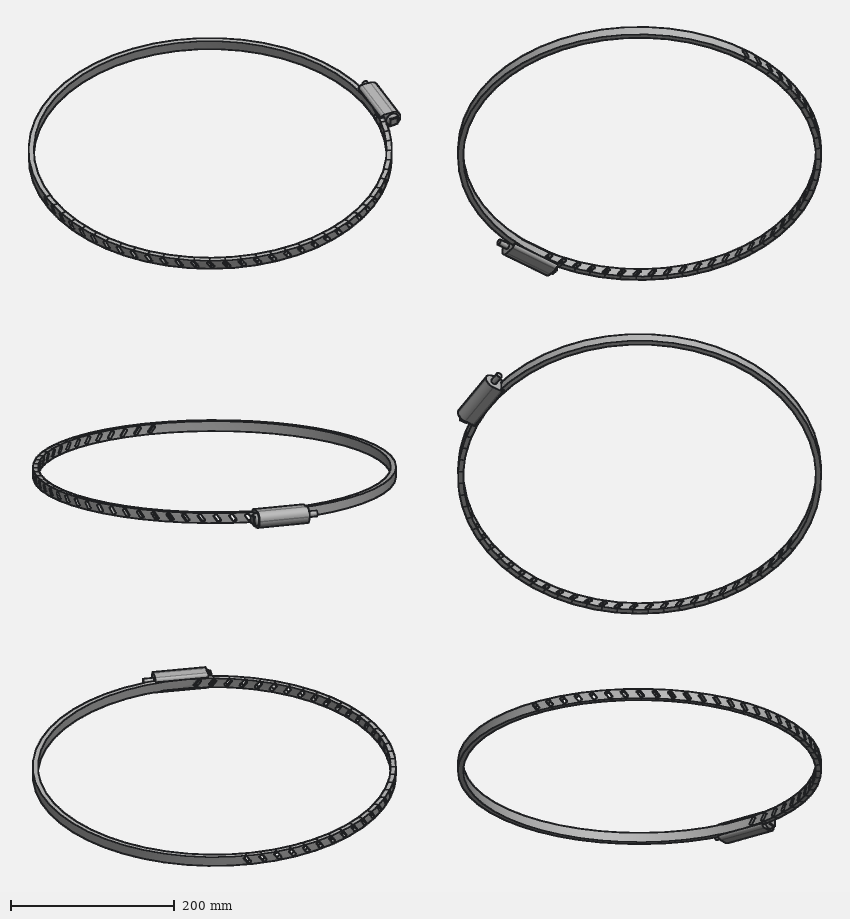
import cadquery as cq
band_radius = 222.0
band_thickness = 6.5
band_width = 12.5
band_inner_radius = band_radius - band_thickness

slot_length = 10.0
slot_width = 4.5
slot_tilt = 36
slot_pitch = 5
first_slot_angle = -90
slot_count = 36

housing_length = 65.5
housing_height = 21.0
housing_top = 241.5
housing_top_round = 10.0
housing_bottom_round = 4.5
housing_bottom = band_inner_radius
housing_end = housing_length / 2

screw_y = 230.5
tip_diameter = 7.5
tip_length = 13.0
head_diameter = 16.2
head_length = 6.0
dome_length = 4.0
dome_round = 3.95
drive_width = 9.5


def make_plain_band():
    middle_radius = (band_radius + band_inner_radius) / 2
    section = cq.Workplane("XZ").center(-middle_radius, 0).rect(band_thickness, band_width)
    return section.revolve(360, (middle_radius, 0), (middle_radius, 1))


def make_slot_cutter(angle):
    """Bar pointing outward through the band at this angle, tilted about its own axis."""
    bar = cq.Workplane("XY").box(3 * band_thickness, slot_width, slot_length)
    bar = bar.rotate((0, 0, 0), (1, 0, 0), slot_tilt)
    bar = bar.translate((band_inner_radius + band_thickness / 2, 0, 0))
    return bar.rotate((0, 0, 0), (0, 0, 1), angle)


def make_band():
    band = make_plain_band()
    for index in range(slot_count):
        band = band.cut(make_slot_cutter(first_slot_angle + index * slot_pitch))
    return band


def make_screw_tip():
    end = cq.Workplane("YZ", origin=(-housing_end, screw_y, 0))
    return end.circle(tip_diameter / 2).extrude(-tip_length)


def make_screw_head():
    end = cq.Workplane("YZ", origin=(housing_end, screw_y, 0))
    dome = end.circle(head_diameter / 2).extrude(dome_length)
    dome = dome.faces(">X").edges().fillet(dome_round)
    drive = end.rect(drive_width, drive_width).extrude(head_length)
    return dome.union(drive)


def make_housing():
    """Rounded case with the screw ends, seated over the band."""
    case = cq.Workplane("XY").box(
        housing_length, housing_top - housing_bottom, housing_height
    )
    case = case.translate((0, (housing_top + housing_bottom) / 2, 0))
    case = case.edges("|X and >Y").fillet(housing_top_round)
    case = case.edges("|X and <Y").fillet(housing_bottom_round)
    case = case.cut(make_plain_band())
    return case.union(make_screw_tip()).union(make_screw_head())


band = make_band()
housing = make_housing()
result = cq.Compound.makeCompound([band.val(), housing.val()])